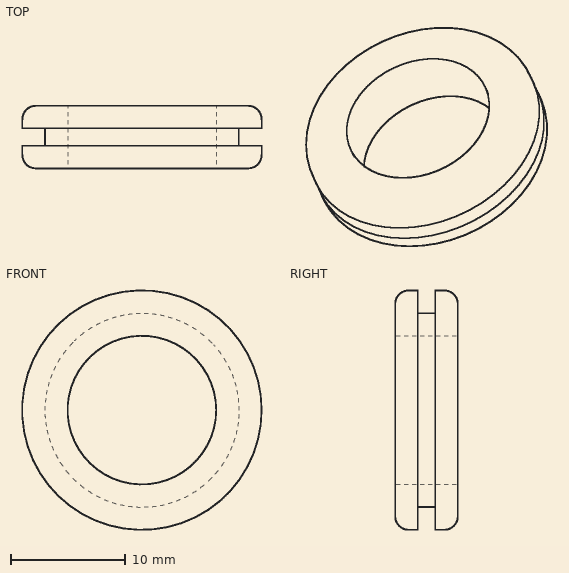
import cadquery as cq

outer_diameter = 21.0
groove_diameter = 17.0
bore_diameter = 13.0
total_width = 5.5
flange_width = 2.0
rim_radius = 1.2

groove_width = total_width - 2 * flange_width


def disc(diameter, width):
    """Solid disc on the Y axis, centred on the XZ plane."""
    return cq.Workplane("XZ", origin=(0, width / 2, 0)).circle(diameter / 2).extrude(width)


body = disc(outer_diameter, total_width).edges("%CIRCLE").fillet(rim_radius)

groove = disc(outer_diameter, groove_width).cut(disc(groove_diameter, groove_width))

bore = disc(bore_diameter, total_width)

result = body.cut(groove).cut(bore)